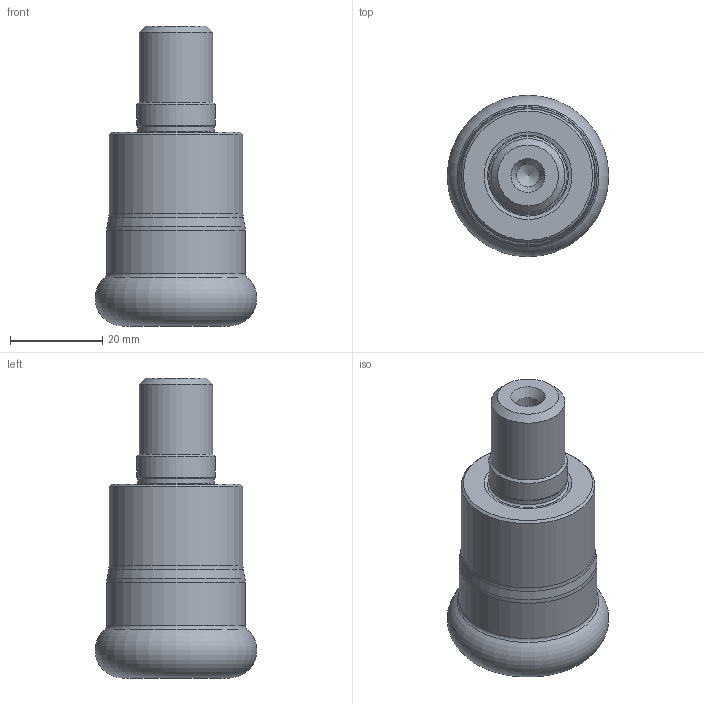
import cadquery as cq
import math

total_height = 65.0

thread_diameter = 16.0
thread_chamfer = 1.4

collar_diameter = 17.0
collar_top = 48.5
collar_bottom = 43.15
collar_bottom_chamfer_height = 0.35
neck_diameter = 16.6

centre_hole_diameter = 5.0
centre_hole_depth = 12.0
countersink_diameter = 7.4
countersink_angle = 60.0
drill_tip_angle = 118.0

knob_height = 42.0
knob_upper_diameter = 29.0
knob_lower_diameter = 30.0
knob_top_chamfer = 0.5
taper_top = 24.0
taper_angle = 10.0
taper_blend_radius = 5.0
rim_diameter = 35.0
rim_radius = 6.0
rim_neck_fillet = 1.0

root_diameter = 17.5
root_top = 41.75
bore_depth = 30.0
bore_mouth_diameter = 19.0


def revolve_profile(profile):
    return profile.close().revolve(360, (0, 0, 0), (0, 1, 0))


def make_pin():
    neck_r = neck_diameter / 2
    collar_r = collar_diameter / 2
    thread_r = thread_diameter / 2
    collar_top_chamfer = collar_r - thread_r
    root_r = root_diameter / 2
    root_fillet = root_r - neck_r
    fillet_mid_offset = root_fillet * math.sqrt(0.5)
    pin = revolve_profile(
        cq.Workplane("XZ")
        .moveTo(0, knob_height - bore_depth)
        .lineTo(root_r, knob_height - bore_depth)
        .lineTo(root_r, root_top)
        .threePointArc(
            (root_r - fillet_mid_offset, root_top + root_fillet - fillet_mid_offset),
            (neck_r, root_top + root_fillet),
        )
        .lineTo(neck_r, collar_bottom)
        .lineTo(collar_r, collar_bottom + collar_bottom_chamfer_height)
        .lineTo(collar_r, collar_top - collar_top_chamfer)
        .lineTo(thread_r, collar_top)
        .lineTo(thread_r, total_height - thread_chamfer)
        .lineTo(thread_r - thread_chamfer, total_height)
        .lineTo(0, total_height)
    )
    return pin.cut(centre_hole())


def centre_hole():
    hole_r = centre_hole_diameter / 2
    sink_r = countersink_diameter / 2
    sink_depth = (sink_r - hole_r) / math.tan(math.radians(countersink_angle / 2))
    tip_length = hole_r / math.tan(math.radians(drill_tip_angle / 2))
    hole_floor = total_height - centre_hole_depth
    return revolve_profile(
        cq.Workplane("XZ")
        .moveTo(0, hole_floor - tip_length)
        .lineTo(hole_r, hole_floor)
        .lineTo(hole_r, total_height - sink_depth)
        .lineTo(sink_r, total_height)
        .lineTo(0, total_height)
    )


def make_knob():
    upper_r = knob_upper_diameter / 2
    lower_r = knob_lower_diameter / 2
    rim_centre_r = rim_diameter / 2 - rim_radius

    fillet_centre_r = lower_r + rim_neck_fillet
    centre_distance = rim_radius + rim_neck_fillet
    centre_offset = fillet_centre_r - rim_centre_r
    centre_rise = math.sqrt(centre_distance**2 - centre_offset**2)
    neck_z = rim_radius + centre_rise
    touch_r = rim_centre_r + rim_radius * centre_offset / centre_distance
    touch_z = rim_radius + rim_radius * centre_rise / centre_distance

    slope = math.radians(taper_angle)
    taper_bottom = taper_top - (lower_r - upper_r) / math.tan(slope)
    blend_length = taper_blend_radius * math.tan(slope / 2)
    blend_dr = blend_length * math.sin(slope)
    blend_dz = blend_length * math.cos(slope)

    knob = revolve_profile(
        cq.Workplane("XZ")
        .moveTo(0, 0)
        .lineTo(rim_centre_r, 0)
        .threePointArc((rim_diameter / 2, rim_radius), (touch_r, touch_z))
        .tangentArcPoint((lower_r, neck_z), relative=False)
        .lineTo(lower_r, taper_bottom - blend_length)
        .tangentArcPoint((lower_r - blend_dr, taper_bottom + blend_dz), relative=False)
        .lineTo(upper_r + blend_dr, taper_top - blend_dz)
        .tangentArcPoint((upper_r, taper_top + blend_length), relative=False)
        .lineTo(upper_r, knob_height - knob_top_chamfer)
        .lineTo(upper_r - knob_top_chamfer, knob_height)
        .lineTo(0, knob_height)
    )
    return knob.cut(knob_bore())


def knob_bore():
    bore_r = root_diameter / 2
    mouth_r = bore_mouth_diameter / 2
    return revolve_profile(
        cq.Workplane("XZ")
        .moveTo(0, knob_height - bore_depth)
        .lineTo(bore_r, knob_height - bore_depth)
        .lineTo(bore_r, root_top)
        .lineTo(mouth_r, knob_height)
        .lineTo(0, knob_height)
    )


pin = make_pin()
knob = make_knob()

result = cq.Compound.makeCompound([pin.val(), knob.val()])